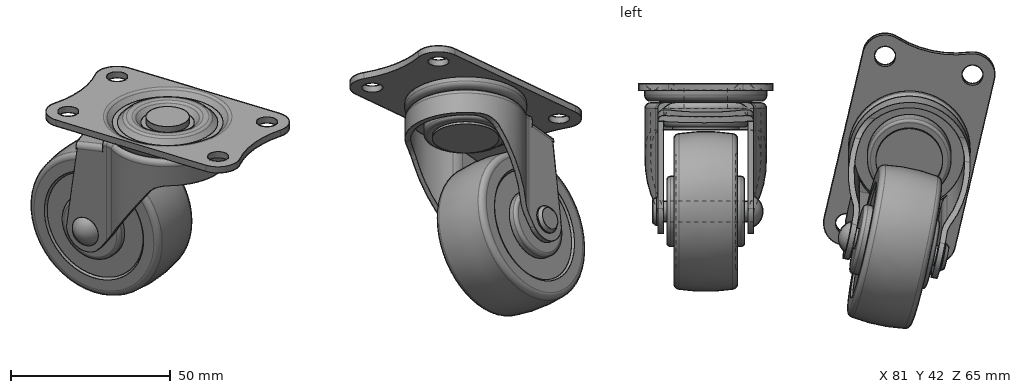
import cadquery as cq
import math


PLATE_LENGTH = 70.0
PLATE_WIDTH = 42.0
PLATE_THICKNESS = 2.2
HOLE_PITCH_Y = 28.0
CORNER_RADIUS = (PLATE_WIDTH - HOLE_PITCH_Y) / 2
HOLE_PITCH_X = PLATE_LENGTH - 2 * CORNER_RADIUS
HOLE_DIAMETER = 6.6
WAIST_DEPTH = 2.5

DISH_RADIUS = 19.1
DISH_BOTTOM_Z = -5.5
DISH_BOTTOM_FILLET = 1.9
PRESS_DEPTH = 2.0
PRESS_EDGE_FILLET = 1.7
GROOVE_TOP_OUTER_RADIUS = 19.4
GROOVE_FLOOR_OUTER_RADIUS = 17.3
GROOVE_FLOOR_INNER_RADIUS = 15.7
GROOVE_TOP_INNER_RADIUS = 13.6
WELL_TOP_RADIUS = 10.45
WELL_FLOOR_RADIUS = 8.35

KINGPIN_RADIUS = 6.8
KINGPIN_FLANGE_RADIUS = 13.1
KINGPIN_FLANGE_BOTTOM_Z = -13.6
KINGPIN_FLANGE_FILLET = 1.0
KINGPIN_HEAD_RADIUS = 10.45
KINGPIN_HEAD_BOTTOM_Z = -14.4

WHEEL_RADIUS = 25.0
WHEEL_WIDTH = 20.0
TREAD_EDGE_RADIUS = 24.4
TREAD_WIDTH = 16.6
SHOULDER_RADIUS = 22.35
RECESS_RADIUS = 18.55
RECESS_FLOOR_RADIUS = 17.9
RECESS_DEPTH = 0.65
HUB_RADIUS = 11.0
HUB_WIDTH = 24.3
HUB_FILLET = 1.1
OVERALL_LENGTH = 81.0
OVERALL_HEIGHT = 65.0
AXLE_X = PLATE_LENGTH / 2 - OVERALL_LENGTH + WHEEL_RADIUS
AXLE_Z = WHEEL_RADIUS - OVERALL_HEIGHT

SHEET = 1.8
CROWN_RADIUS = 19.0
CROWN_TOP_Z = -6.0
CROWN_FILLET = 1.8
BEARING_RING_RADIUS = 14.6
BEARING_RING_FOOT_RADIUS = 14.1
LEG_HALF_WIDTH = 15.0
LEG_BLEND_RADIUS = 4.05
LEG_TIP_RADIUS = 7.0
LEG_FRONT_ANGLE = 8.0
LEG_REAR_ANGLE = 53.0
SKIRT_BOTTOM_Z = -14.5
SKIRT_BLEND_RADIUS = 8.1
NOTCH_X = -14.5
NOTCH_BLEND_RADIUS = 2.4
TONGUE_ANGLE = 10.0
TONGUE_THICKNESS = 1.9
TONGUE_FILLET = 1.8
TONGUE_ROOT_Z = -10.05
TONGUE_TIP_X = -27.1
TONGUE_CORNER_X = -24.45
BLANK_FRONT_X = -32.4
BLANK_REAR_X = 24.3
BLANK_BOTTOM_Z = -48.6

AXLE_RADIUS = 3.2
AXLE_DOME_RADIUS = 4.85
AXLE_DOME_HEIGHT = 2.9
AXLE_TAIL_RADIUS = 4.45
AXLE_TAIL_END_RADIUS = 3.6
AXLE_TAIL_RIM = 0.5
AXLE_TAIL_HEIGHT = 1.6


def cylinder(radius, bottom_z, top_z):
    """Solid cylinder about the swivel axis."""
    return cq.Workplane("XY").workplane(offset=bottom_z).circle(radius).extrude(top_z - bottom_z)


def plate_outline():
    """Plate blank: rounded corners joined by straight sides and inward-curved ends."""
    corner_x = HOLE_PITCH_X / 2
    corner_y = HOLE_PITCH_Y / 2
    waist_x = PLATE_LENGTH / 2 - WAIST_DEPTH
    gap = waist_x - CORNER_RADIUS
    end_centre_x = (corner_x**2 + corner_y**2 - gap**2) / (2 * (corner_x - gap))
    end_radius = end_centre_x - waist_x
    share = CORNER_RADIUS / (end_radius + CORNER_RADIUS)
    touch_x = corner_x + share * (end_centre_x - corner_x)
    touch_y = corner_y * (1 - share)
    side_y = PLATE_WIDTH / 2
    return (
        cq.Workplane("XY")
        .moveTo(-corner_x, side_y)
        .lineTo(corner_x, side_y)
        .tangentArcPoint((touch_x, touch_y), relative=False)
        .threePointArc((waist_x, 0), (touch_x, -touch_y))
        .tangentArcPoint((corner_x, -side_y), relative=False)
        .lineTo(-corner_x, -side_y)
        .tangentArcPoint((-touch_x, -touch_y), relative=False)
        .threePointArc((-waist_x, 0), (-touch_x, touch_y))
        .tangentArcPoint((-corner_x, side_y), relative=False)
        .close()
    )


def make_plate():
    plate = plate_outline().extrude(-PLATE_THICKNESS)
    dish = cylinder(DISH_RADIUS, DISH_BOTTOM_Z, -PLATE_THICKNESS)
    plate = plate.union(dish.faces("<Z").edges().fillet(DISH_BOTTOM_FILLET))

    groove = (
        cq.Workplane("XZ")
        .polyline(
            [
                (GROOVE_TOP_INNER_RADIUS, 0),
                (GROOVE_FLOOR_INNER_RADIUS, -PRESS_DEPTH),
                (GROOVE_FLOOR_OUTER_RADIUS, -PRESS_DEPTH),
                (GROOVE_TOP_OUTER_RADIUS, 0),
            ]
        )
        .close()
        .revolve(360, (0, 0, 0), (0, 1, 0))
    )
    well = (
        cq.Workplane("XZ")
        .polyline([(0, 0), (0, -PRESS_DEPTH), (WELL_FLOOR_RADIUS, -PRESS_DEPTH), (WELL_TOP_RADIUS, 0)])
        .close()
        .revolve(360, (0, 0, 0), (0, 1, 0))
    )
    plate = plate.cut(groove).cut(well)
    press_edges = cq.selectors.BoxSelector(
        (-DISH_RADIUS - 0.8, -DISH_RADIUS - 0.8, -0.1), (DISH_RADIUS + 0.8, DISH_RADIUS + 0.8, 0.1), boundingbox=True
    )
    plate = plate.edges(press_edges).fillet(PRESS_EDGE_FILLET)

    holes = (
        cq.Workplane("XY")
        .rect(HOLE_PITCH_X, HOLE_PITCH_Y, forConstruction=True)
        .vertices()
        .circle(HOLE_DIAMETER / 2)
        .extrude(-PLATE_THICKNESS)
    )
    return plate.cut(holes).cut(cylinder(KINGPIN_RADIUS, DISH_BOTTOM_Z, 0))


def make_kingpin():
    """Shank flush with the plate top, with a round-edged flange and a head under the fork crown."""
    flange_top_z = CROWN_TOP_Z - SHEET
    flange = cylinder(KINGPIN_FLANGE_RADIUS, KINGPIN_FLANGE_BOTTOM_Z, flange_top_z)
    flange = flange.faces("<Z").edges().fillet(KINGPIN_FLANGE_FILLET)
    shank = cylinder(KINGPIN_RADIUS, flange_top_z, 0)
    head = cylinder(KINGPIN_HEAD_RADIUS, KINGPIN_HEAD_BOTTOM_Z, KINGPIN_FLANGE_BOTTOM_Z)
    return flange.union(shank).union(head)


def fork_plan(inset, top_z):
    """Keyhole-shaped block seen from above: round crown blending into two parallel sides."""
    radius = CROWN_RADIUS - inset
    side_y = LEG_HALF_WIDTH - inset
    blend_x = -math.sqrt((CROWN_RADIUS + LEG_BLEND_RADIUS) ** 2 - (LEG_HALF_WIDTH + LEG_BLEND_RADIUS) ** 2)
    share = radius / (CROWN_RADIUS + LEG_BLEND_RADIUS)
    touch_x = blend_x * share
    touch_y = (LEG_HALF_WIDTH + LEG_BLEND_RADIUS) * share
    return (
        cq.Workplane("XY")
        .workplane(offset=top_z)
        .moveTo(BLANK_FRONT_X, -side_y)
        .lineTo(blend_x, -side_y)
        .tangentArcPoint((touch_x, -touch_y), relative=False)
        .threePointArc((radius, 0), (touch_x, touch_y))
        .tangentArcPoint((blend_x, side_y), relative=False)
        .lineTo(BLANK_FRONT_X, side_y)
        .close()
        .extrude(BLANK_BOTTOM_Z - top_z)
    )


def tongue_underside_z(x):
    return TONGUE_ROOT_Z + (x - NOTCH_X) * math.tan(math.radians(TONGUE_ANGLE))


def beside_tongue(rear_x, end_z):
    """Wide block between the plane of the tongue's underside and a level end, forward of rear_x."""
    return (
        cq.Workplane("XZ")
        .polyline(
            [
                (rear_x, tongue_underside_z(rear_x)),
                (BLANK_FRONT_X, tongue_underside_z(BLANK_FRONT_X)),
                (BLANK_FRONT_X, end_z),
                (rear_x, end_z),
            ]
        )
        .close()
        .extrude(BLANK_REAR_X, both=True)
    )


def fork_side_outline():
    """Block bounded by the side outline of the legs and skirt."""
    front = math.radians(LEG_FRONT_ANGLE)
    rear = math.radians(LEG_REAR_ANGLE)
    tip_rear_x = AXLE_X + LEG_TIP_RADIUS * math.sin(rear)
    tip_rear_z = AXLE_Z - LEG_TIP_RADIUS * math.cos(rear)
    tip_front_x = AXLE_X - LEG_TIP_RADIUS * math.cos(front)
    tip_front_z = AXLE_Z + LEG_TIP_RADIUS * math.sin(front)
    corner_x = tip_rear_x + (SKIRT_BOTTOM_Z - tip_rear_z) / math.tan(rear)
    blend_length = SKIRT_BLEND_RADIUS * math.tan(rear / 2)
    return (
        cq.Workplane("XZ")
        .moveTo(BLANK_REAR_X, 0)
        .lineTo(BLANK_REAR_X, SKIRT_BOTTOM_Z)
        .lineTo(corner_x + blend_length, SKIRT_BOTTOM_Z)
        .tangentArcPoint(
            (corner_x - blend_length * math.cos(rear), SKIRT_BOTTOM_Z - blend_length * math.sin(rear)),
            relative=False,
        )
        .lineTo(tip_rear_x, tip_rear_z)
        .tangentArcPoint((tip_front_x, tip_front_z), relative=False)
        .lineTo(tip_front_x - tip_front_z * math.tan(front), 0)
        .close()
        .extrude(BLANK_REAR_X, both=True)
    )


def make_tongue():
    """Sloping front tab of the fork, rounded along its sides and bowed at its free end."""
    blank_length = NOTCH_X - BLANK_FRONT_X
    slab = (
        cq.Workplane("XY")
        .box(blank_length, 2 * LEG_HALF_WIDTH, TONGUE_THICKNESS, centered=(False, True, False))
        .edges("|X and >Z")
        .fillet(TONGUE_FILLET)
        .translate((-blank_length, 0, 0))
        .rotate((0, 0, 0), (0, 1, 0), -TONGUE_ANGLE)
        .translate((NOTCH_X, 0, TONGUE_ROOT_Z))
    )
    end_trim = (
        cq.Workplane("XY")
        .moveTo(BLANK_REAR_X, LEG_HALF_WIDTH)
        .lineTo(TONGUE_CORNER_X, LEG_HALF_WIDTH)
        .threePointArc((TONGUE_TIP_X, 0), (TONGUE_CORNER_X, -LEG_HALF_WIDTH))
        .lineTo(BLANK_REAR_X, -LEG_HALF_WIDTH)
        .close()
        .extrude(BLANK_BOTTOM_Z)
    )
    return slab.intersect(end_trim)


def make_crown_front():
    """Front of the round crown, blending at each side into the end face of a side wall."""
    blend_centre_x = NOTCH_X - NOTCH_BLEND_RADIUS
    blend_centre_y = math.sqrt((CROWN_RADIUS + NOTCH_BLEND_RADIUS) ** 2 - blend_centre_x**2)
    share = CROWN_RADIUS / (CROWN_RADIUS + NOTCH_BLEND_RADIUS)
    touch_x = blend_centre_x * share
    touch_y = blend_centre_y * share
    return (
        cq.Workplane("XY")
        .workplane(offset=CROWN_TOP_Z)
        .moveTo(touch_x, -touch_y)
        .threePointArc((-CROWN_RADIUS, 0), (touch_x, touch_y))
        .tangentArcPoint((NOTCH_X, blend_centre_y), relative=False)
        .lineTo(NOTCH_X, LEG_HALF_WIDTH)
        .lineTo(0, LEG_HALF_WIDTH)
        .lineTo(0, -LEG_HALF_WIDTH)
        .lineTo(NOTCH_X, -LEG_HALF_WIDTH)
        .lineTo(NOTCH_X, -blend_centre_y)
        .tangentArcPoint((touch_x, -touch_y), relative=False)
        .close()
        .extrude(TONGUE_ROOT_Z - CROWN_TOP_Z)
        .faces(">Z")
        .edges("<X or %CIRCLE")
        .fillet(CROWN_FILLET)
    )


def make_fork():
    ceiling_z = CROWN_TOP_Z - SHEET
    hollow = cylinder(CROWN_RADIUS - SHEET, BLANK_BOTTOM_Z, ceiling_z)
    leg_space = fork_plan(SHEET, ceiling_z).intersect(beside_tongue(0, BLANK_BOTTOM_Z))

    blank = fork_plan(0, CROWN_TOP_Z).faces(">Z").edges().fillet(CROWN_FILLET)
    fork = blank.intersect(fork_side_outline())
    fork = fork.cut(beside_tongue(NOTCH_X, 0))
    fork = fork.cut(leg_space).cut(hollow)

    fork = fork.union(make_crown_front().intersect(blank).cut(hollow)).union(make_tongue().cut(hollow))

    ring = (
        cq.Workplane("XZ")
        .polyline(
            [
                (0, CROWN_TOP_Z),
                (BEARING_RING_FOOT_RADIUS, CROWN_TOP_Z),
                (BEARING_RING_RADIUS, DISH_BOTTOM_Z),
                (0, DISH_BOTTOM_Z),
            ]
        )
        .close()
        .revolve(360, (0, 0, 0), (0, 1, 0))
    )
    fork = fork.union(ring).cut(cylinder(KINGPIN_RADIUS, ceiling_z, DISH_BOTTOM_Z))

    axle_holes = (
        cq.Workplane("XZ").center(AXLE_X, AXLE_Z).circle(AXLE_RADIUS).extrude(LEG_HALF_WIDTH, both=True)
    )
    return fork.cut(axle_holes)


def revolve_about_axle(profile):
    """Revolve an outline of (radius, Y) points and move it to the wheel centre."""
    return profile.close().revolve(360, (0, 0, 0), (0, 1, 0)).translate((AXLE_X, 0, AXLE_Z))


def make_wheel():
    half_wheel = WHEEL_WIDTH / 2
    half_tread = TREAD_WIDTH / 2
    half_hub = HUB_WIDTH / 2
    floor_y = half_wheel - RECESS_DEPTH
    round_share = math.sqrt(0.5)
    shoulder_mid_radius = SHOULDER_RADIUS + round_share * (TREAD_EDGE_RADIUS - SHOULDER_RADIUS)
    shoulder_mid_y = half_tread + round_share * (half_wheel - half_tread)
    profile = (
        cq.Workplane("XY")
        .moveTo(AXLE_RADIUS, -half_hub)
        .lineTo(HUB_RADIUS, -half_hub)
        .lineTo(HUB_RADIUS, -floor_y)
        .lineTo(RECESS_FLOOR_RADIUS, -floor_y)
        .lineTo(RECESS_RADIUS, -half_wheel)
        .lineTo(SHOULDER_RADIUS, -half_wheel)
        .threePointArc((shoulder_mid_radius, -shoulder_mid_y), (TREAD_EDGE_RADIUS, -half_tread))
        .threePointArc((WHEEL_RADIUS, 0), (TREAD_EDGE_RADIUS, half_tread))
        .threePointArc((shoulder_mid_radius, shoulder_mid_y), (SHOULDER_RADIUS, half_wheel))
        .lineTo(RECESS_RADIUS, half_wheel)
        .lineTo(RECESS_FLOOR_RADIUS, floor_y)
        .lineTo(HUB_RADIUS, floor_y)
        .lineTo(HUB_RADIUS, half_hub)
        .lineTo(AXLE_RADIUS, half_hub)
    )
    hub_rims = cq.selectors.RadiusNthSelector(1)
    wheel = revolve_about_axle(profile)
    for hub_face in ("<Y", ">Y"):
        wheel = wheel.faces(hub_face).edges(hub_rims).fillet(HUB_FILLET)
    return wheel


def make_axle():
    """Rivet with a domed head on the -Y leg and a flat chamfered tail on the +Y leg."""
    dome_sphere_radius = (AXLE_DOME_RADIUS**2 + AXLE_DOME_HEIGHT**2) / (2 * AXLE_DOME_HEIGHT)
    dome_half_angle = math.asin(AXLE_DOME_RADIUS / dome_sphere_radius)
    dome_centre_y = -LEG_HALF_WIDTH - AXLE_DOME_HEIGHT + dome_sphere_radius
    dome_mid = (
        dome_sphere_radius * math.sin(dome_half_angle / 2),
        dome_centre_y - dome_sphere_radius * math.cos(dome_half_angle / 2),
    )
    return revolve_about_axle(
        cq.Workplane("XY")
        .moveTo(0, -LEG_HALF_WIDTH - AXLE_DOME_HEIGHT)
        .threePointArc(dome_mid, (AXLE_DOME_RADIUS, -LEG_HALF_WIDTH))
        .lineTo(AXLE_RADIUS, -LEG_HALF_WIDTH)
        .lineTo(AXLE_RADIUS, LEG_HALF_WIDTH)
        .lineTo(AXLE_TAIL_RADIUS, LEG_HALF_WIDTH)
        .lineTo(AXLE_TAIL_RADIUS, LEG_HALF_WIDTH + AXLE_TAIL_RIM)
        .lineTo(AXLE_TAIL_END_RADIUS, LEG_HALF_WIDTH + AXLE_TAIL_HEIGHT)
        .lineTo(0, LEG_HALF_WIDTH + AXLE_TAIL_HEIGHT)
    )


plate = make_plate()
kingpin = make_kingpin()
fork = make_fork()
wheel = make_wheel()
axle = make_axle()

result = cq.Compound.makeCompound([body.solids().val() for body in (plate, kingpin, fork, wheel, axle)])